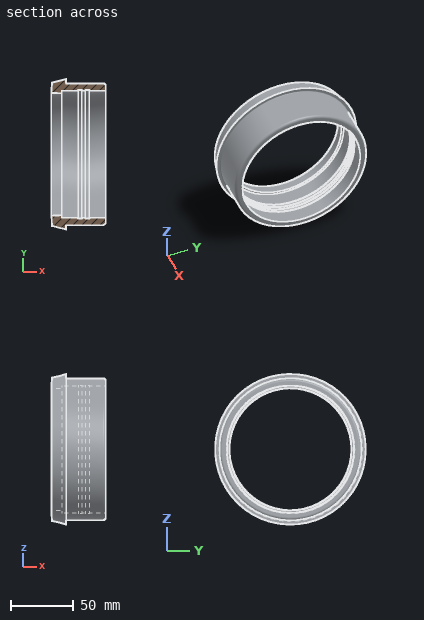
import cadquery as cq

length = 44.0
flange_radius = 60.5

entry_radius = 49.2
flange_front_radius = 57.6
flange_front_x = 0.7
flange_back_x = 12.1

sleeve_radius = 114.0 / 2
root_fillet = 0.6
end_fillet = 2.4

bore_radius = 101.9 / 2
lip_radius = 97.6 / 2
lip_length = 8.6
groove_radius = 102.8 / 2
groove_width = 3.1
groove_starts = (21.7, 27.6)


def ring_body():
    """Revolve the ring profile, drawn as (axial position, radius), about X."""
    profile = (
        cq.Workplane("XY")
        .moveTo(0, entry_radius)
        .lineTo(flange_front_x, flange_front_radius)
        .lineTo(flange_back_x, flange_radius)
        .lineTo(flange_back_x, sleeve_radius + root_fillet)
        .radiusArc((flange_back_x + root_fillet, sleeve_radius), -root_fillet)
        .lineTo(length - end_fillet, sleeve_radius)
        .radiusArc((length, sleeve_radius - end_fillet), end_fillet)
        .lineTo(length, bore_radius)
        .lineTo(lip_length, bore_radius)
        .lineTo(lip_length, lip_radius)
        .close()
    )
    return profile.revolve(360, (0, 0, 0), (1, 0, 0))


def seal_groove(start):
    """Disc that cuts one shallow groove into the bore."""
    return cq.Workplane("YZ").workplane(offset=start).circle(groove_radius).extrude(groove_width)


result = ring_body()
for groove_start in groove_starts:
    result = result.cut(seal_groove(groove_start))